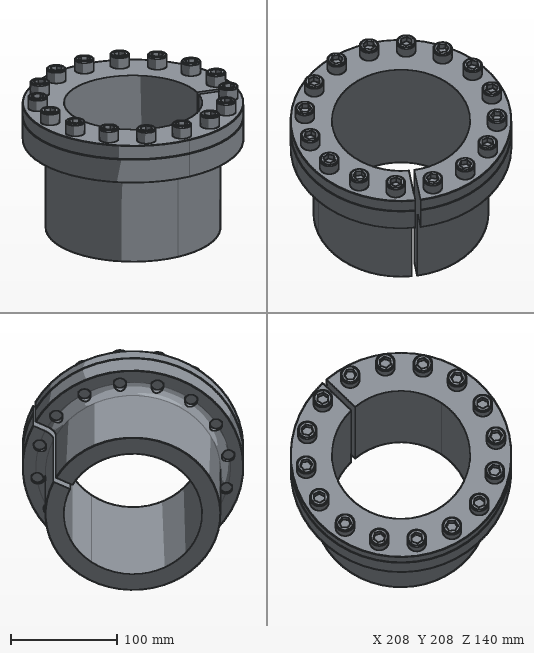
import cadquery as cq
import math


bore_diameter = 130.0
tube_diameter = 165.0
flange_diameter = 208.0
hub_length = 90.0
lower_flange_thickness = 24.0
upper_flange_thickness = 14.0
neck_fillet = 9.0
edge_chamfer = 0.5

screw_count = 16
bolt_circle_diameter = 181.0
screw_diameter = 12.0
screw_length = 35.0
head_diameter = 18.0
head_height = 12.0
head_chamfer = 1.2
socket_across_flats = 10.0
socket_depth = 6.0

slot_width = 5.0
slot_angle = 10.5

flange_joint_z = hub_length + lower_flange_thickness
flange_top_z = flange_joint_z + upper_flange_thickness
screw_tip_z = flange_top_z - screw_length
bore_radius = bore_diameter / 2
tube_radius = tube_diameter / 2
flange_radius = flange_diameter / 2
bolt_circle_radius = bolt_circle_diameter / 2


def make_hub():
    """Tube and lower flange in one turned piece, with a filleted neck."""
    c = edge_chamfer
    fillet_offset = neck_fillet * (1 - math.sqrt(0.5))
    fillet_mid = (tube_radius + fillet_offset, hub_length - fillet_offset)
    return (
        cq.Workplane("XZ")
        .moveTo(bore_radius, 0)
        .lineTo(tube_radius - c, 0)
        .lineTo(tube_radius, c)
        .lineTo(tube_radius, hub_length - neck_fillet)
        .threePointArc(fillet_mid, (tube_radius + neck_fillet, hub_length))
        .lineTo(flange_radius - c, hub_length)
        .lineTo(flange_radius, hub_length + c)
        .lineTo(flange_radius, flange_joint_z - c)
        .lineTo(flange_radius - c, flange_joint_z)
        .lineTo(bore_radius, flange_joint_z)
        .close()
        .revolve(360, (0, 0, 0), (0, 1, 0))
    )


def make_upper_flange():
    """Plain ring with both outer edges chamfered."""
    disc = (
        cq.Workplane("XY")
        .workplane(offset=flange_joint_z)
        .circle(flange_radius)
        .extrude(upper_flange_thickness)
        .edges("%CIRCLE")
        .chamfer(edge_chamfer)
    )
    bore = (
        cq.Workplane("XY")
        .workplane(offset=flange_joint_z)
        .circle(bore_radius)
        .extrude(upper_flange_thickness)
    )
    return disc.cut(bore)


def make_screw_head():
    """Chamfered head with a hexagon socket, one socket corner facing outwards along X."""
    socket_across_corners = socket_across_flats / math.cos(math.pi / 6)
    return (
        cq.Workplane("XY", origin=(bolt_circle_radius, 0, flange_top_z))
        .circle(head_diameter / 2)
        .extrude(head_height)
        .faces(">Z")
        .chamfer(head_chamfer)
        .faces(">Z")
        .workplane()
        .polygon(6, socket_across_corners)
        .cutBlind(-socket_depth)
    )


def make_screw_hole():
    """Open end of a screw hole, from the neck fillet up to the screw tip."""
    start_z = hub_length - neck_fillet
    return (
        cq.Workplane("XY", origin=(bolt_circle_radius, 0, start_z))
        .circle(screw_diameter / 2)
        .extrude(screw_tip_z - start_z)
    )


def make_slot():
    """Cutter for the radial slot through one side over the full height."""
    height = flange_top_z
    return (
        cq.Workplane("XY")
        .rect(slot_width, flange_diameter)
        .extrude(height)
        .translate((0, flange_radius, 0))
        .rotate((0, 0, 0), (0, 0, 1), -slot_angle)
    )


result = make_hub().union(make_upper_flange())

screw_head = make_screw_head()
screw_hole = make_screw_hole()
for index in range(screw_count):
    angle = 360 / screw_count * index
    result = result.cut(screw_hole.rotate((0, 0, 0), (0, 0, 1), angle))
    result = result.union(screw_head.rotate((0, 0, 0), (0, 0, 1), angle))

result = result.cut(make_slot())